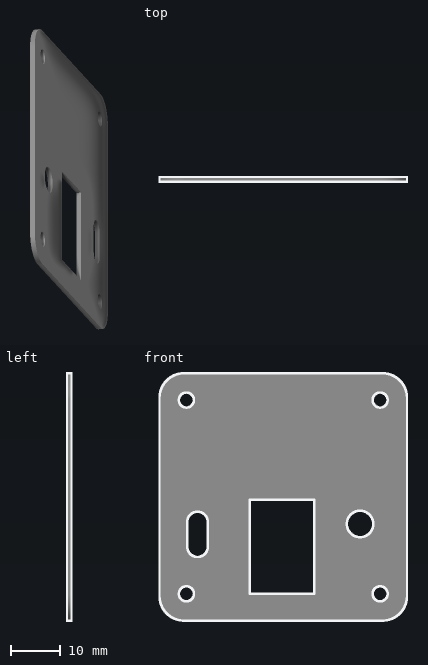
import cadquery as cq

side = 50
thickness = 1
corner_radius = 5

mount_diameter = 3
mount_spacing = 39.1

window_width = 13
window_height = 18.9
window_center = (-0.25, -10.05)
slot_width = 4.1
slot_length = 9.1
slot_center = (-17.3, -7.55)
round_diameter = 5.3
round_center = (15.5, -5.45)


def face_sketch():
    """Workplane on the XZ plane; extrusions run along Y, centred on the plate."""
    return cq.Workplane("XZ")


def through(outline):
    """Extrude an outline to the plate thickness, centred on Y = 0."""
    return outline.extrude(thickness / 2, both=True)


plate = through(face_sketch().rect(side, side)).edges("|Y").fillet(corner_radius)

mount_holes = through(
    face_sketch().rect(mount_spacing, mount_spacing, forConstruction=True).vertices().circle(mount_diameter / 2)
)
window = through(face_sketch().center(*window_center).rect(window_width, window_height))
slot = through(face_sketch().center(*slot_center).slot2D(slot_length, slot_width, 90))
round_hole = through(face_sketch().center(*round_center).circle(round_diameter / 2))

result = plate.cut(mount_holes).cut(window).cut(slot).cut(round_hole)